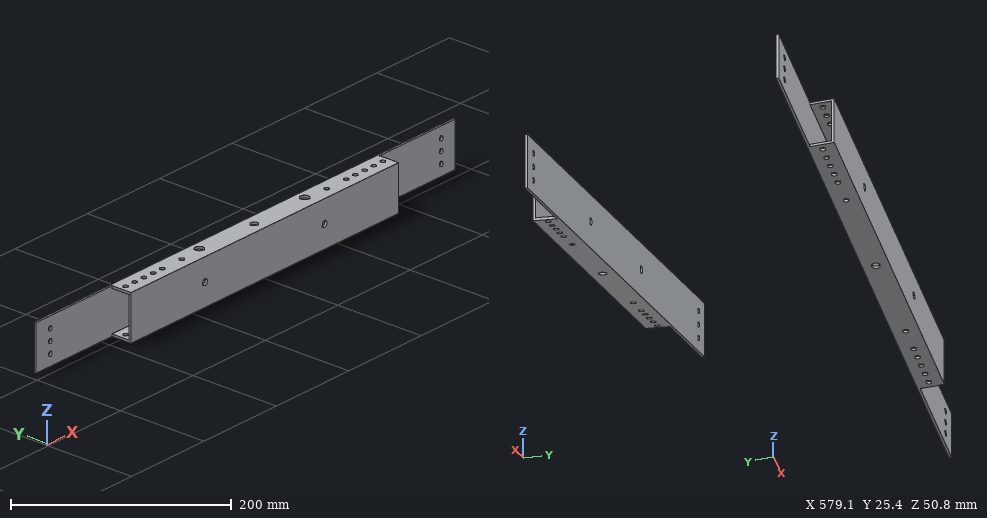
import cadquery as cq

INCH = 25.4
PLATE_LENGTH = 579.11
TAB_LENGTH = 4.125 * INCH
TUBE_LENGTH = PLATE_LENGTH - 2 * TAB_LENGTH
DEPTH = 1.0 * INCH
HEIGHT = 2.0 * INCH
WALL = 0.1046 * INCH

HOLE_PITCH = 0.5 * INCH
ROW_COUNT = 5
ROW_OUTER_X = 7.0 * INCH
ROW_HOLE_DIAMETER = 5.0
INNER_HOLE_X = 100.0
CENTER_HOLE_DIAMETER = 7.9

ACCESS_HOLE_X = 72.7
ACCESS_HOLE_Y = 2.6
ACCESS_HOLE_DIAMETER = 0.375 * INCH

FACE_HOLE_X = 3.25 * INCH
FACE_HOLE_DIAMETER = 6.5

TAB_HOLE_END_MARGIN = 19.6
TAB_HOLE_DIAMETER = 4.8

SIDES = (-1, 1)


def make_body():
    """Tube open at both ends, joined to the full-length back plate."""
    tube = cq.Workplane("XY").box(TUBE_LENGTH, DEPTH, HEIGHT)
    cavity = cq.Workplane("XY").box(TUBE_LENGTH, DEPTH - 2 * WALL, HEIGHT - 2 * WALL)
    plate = (
        cq.Workplane("XY")
        .box(PLATE_LENGTH, WALL, HEIGHT)
        .translate((0, (DEPTH - WALL) / 2, 0))
    )
    return tube.cut(cavity).union(plate)


def vertical_holes(points, diameter):
    """Cylinders along Z through the top and bottom walls at (x, y) points."""
    return (
        cq.Workplane("XY", origin=(0, 0, -HEIGHT / 2))
        .pushPoints(points)
        .circle(diameter / 2)
        .extrude(HEIGHT)
    )


def face_holes(points, diameter):
    """Cylinders along Y through the full depth at (x, z) points."""
    return (
        cq.Workplane("XZ", origin=(0, DEPTH / 2, 0))
        .pushPoints(points)
        .circle(diameter / 2)
        .extrude(DEPTH)
    )


def cut_row_holes(body):
    distances = [ROW_OUTER_X - i * HOLE_PITCH for i in range(ROW_COUNT)] + [INNER_HOLE_X]
    points = [(side * x, 0) for side in SIDES for x in distances]
    body = body.cut(vertical_holes(points, ROW_HOLE_DIAMETER))
    return body.cut(vertical_holes([(0, 0)], CENTER_HOLE_DIAMETER))


def cut_access_holes(body):
    cutters = (
        cq.Workplane("XY", origin=(0, 0, HEIGHT / 2 - WALL))
        .pushPoints([(side * ACCESS_HOLE_X, ACCESS_HOLE_Y) for side in SIDES])
        .circle(ACCESS_HOLE_DIAMETER / 2)
        .extrude(WALL)
    )
    return body.cut(cutters)


def cut_face_holes(body):
    points = [(side * FACE_HOLE_X, 0) for side in SIDES]
    return body.cut(face_holes(points, FACE_HOLE_DIAMETER))


def cut_tab_holes(body):
    tab_x = PLATE_LENGTH / 2 - TAB_HOLE_END_MARGIN
    points = [(side * tab_x, row * HOLE_PITCH) for side in SIDES for row in (-1, 0, 1)]
    return body.cut(face_holes(points, TAB_HOLE_DIAMETER))


result = make_body()
result = cut_row_holes(result)
result = cut_access_holes(result)
result = cut_face_holes(result)
result = cut_tab_holes(result)